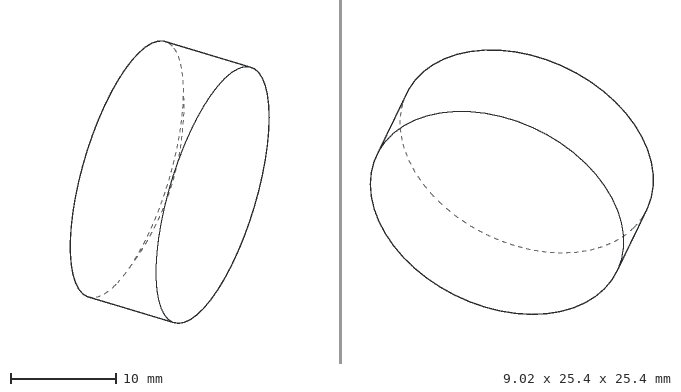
import cadquery as cq
import math

diameter = 25.4
edge_thickness = 9.02
dish_depth = 3.28

rim_radius = diameter / 2
dish_radius = (rim_radius**2 + dish_depth**2) / (2 * dish_depth)

half_angle = math.asin(rim_radius / dish_radius) / 2
arc_middle_x = dish_depth - dish_radius * (1 - math.cos(half_angle))
arc_middle_y = dish_radius * math.sin(half_angle)

result = (
    cq.Workplane("XY")
    .moveTo(dish_depth, 0)
    .threePointArc((arc_middle_x, arc_middle_y), (0, rim_radius))
    .lineTo(edge_thickness, rim_radius)
    .lineTo(edge_thickness, 0)
    .close()
    .revolve(360, (0, 0, 0), (1, 0, 0))
)